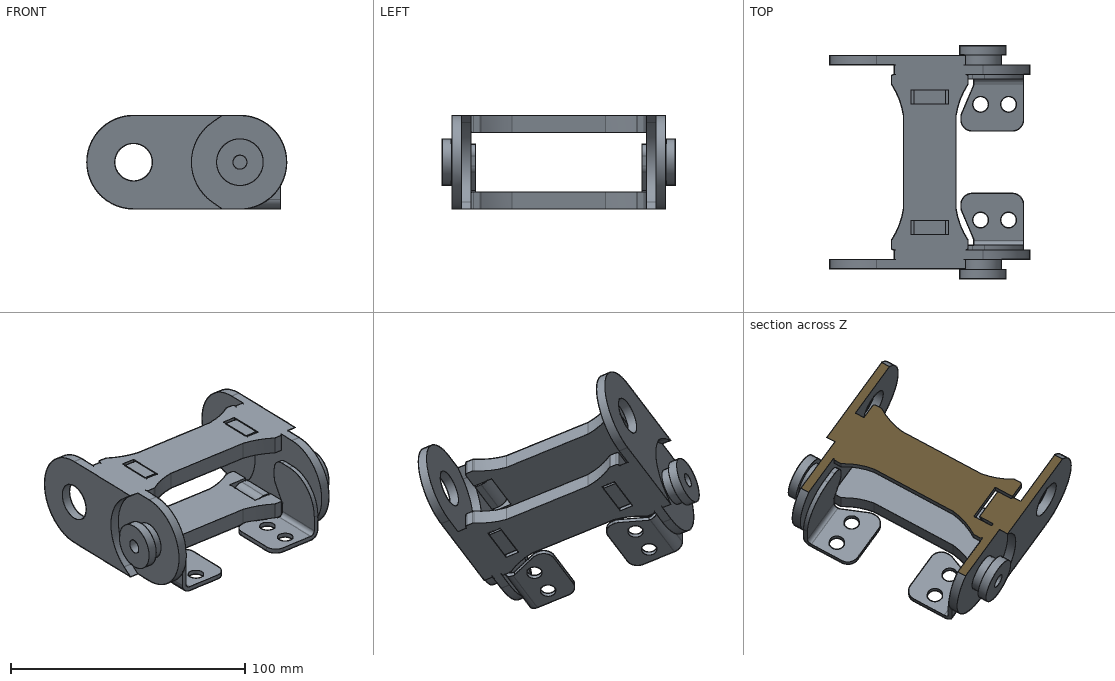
import cadquery as cq
import math

plate_radius = 20.0
plate_thickness = 4.1
pitch = 45.4
eye_radius = 8.0
outer_face_y = 45.6
layer_face_y = outer_face_y - plate_thickness
inner_face_y = layer_face_y - plate_thickness
relief_radius = 20.7
relief_arc_angle = 55
middle_x = pitch / 2

pin_end_y = 49.8
pin_head_radius = 10.0
pin_head_thickness = 4.0
pin_shank_radius = 8.0
pin_bore_radius = 3.0

bridge_thickness = 7.4
bridge_end_width = 32.9
bridge_waist_width = 22.5
bridge_flare_start_y = 19.9
bridge_flare_end_y = 33.4
bridge_flare_sag = 0.8
bridge_corner_radius = 1.0

pad_recess = 0.3
outer_pad_length = 13.4
outer_slot_length = 15.9
outer_slot_y = 27.9
outer_slot_width = 6.0
outer_groove_depth = 2.0
inner_pad_length = 14.9
inner_pocket_length = 16.9
inner_pocket_y = 28.8
inner_pocket_depth = 4.8
inner_pad_flat_y = 34.5

bracket_thickness = 2.0
bracket_bend_radius = 4.0
bracket_left_x = pitch - 9.5
bracket_neck_x = pitch - 4.0
bracket_right_x = pitch + 17.4
bracket_corner_radius = 5.0
bracket_top_z = 7.7
bracket_crown_x = pitch + 0.6
bracket_knee_z = -3.1
bracket_neck_z = -12.1
tab_end_y = 13.2
tab_knee_y = 20.0
tab_neck_y = 32.9
tab_hole_radius = 3.3
tab_hole_y = 24.7
tab_hole_xs = (pitch - 1.0, pitch + 11.0)


def cylinder_y(x, radius, y_start, y_end):
    """Cylinder along +Y at height Z = 0."""
    plane = cq.Workplane("XZ", origin=(x, y_start, 0))
    return plane.circle(radius).extrude(y_start - y_end)


def box_between(x_start, x_end, y_start, y_end, z_start, z_end):
    box = cq.Workplane("XY").box(x_end - x_start, y_end - y_start, z_end - z_start, centered=False)
    return box.translate((x_start, y_start, z_start))


def plate_layer(round_x, relief_x, y_start):
    """Plate with a round end at round_x and a hollow end around relief_x."""
    y_end = y_start + plate_thickness
    x_start, x_end = sorted((round_x, relief_x))
    body = box_between(x_start, x_end, y_start, y_end, -plate_radius, plate_radius)
    body = body.cut(cylinder_y(relief_x, relief_radius, y_start, y_end))

    inward = math.copysign(1, round_x - relief_x)
    angle = math.radians(relief_arc_angle)
    tangent_x = relief_x + inward * relief_radius * math.cos(angle)
    tangent_z = relief_radius * math.sin(angle)
    corner_x = tangent_x - inward * (plate_radius - tangent_z) * math.tan(angle)
    corners = [(tangent_x, tangent_z), (corner_x, plate_radius), (relief_x, plate_radius)]
    corners += [(x, -z) for x, z in reversed(corners)]
    flare = cq.Workplane("XZ", origin=(0, y_start, 0)).polyline(corners).close().extrude(-plate_thickness)
    return body.cut(flare).union(cylinder_y(round_x, plate_radius, y_start, y_end))


def side_plate():
    outer = plate_layer(0, pitch, layer_face_y)
    inner = plate_layer(pitch, 0, inner_face_y)
    eye = cylinder_y(0, eye_radius, inner_face_y, outer_face_y)
    return outer.union(inner).cut(eye)


def pin():
    shank = cylinder_y(pitch, pin_shank_radius, layer_face_y, pin_end_y)
    head = cylinder_y(pitch, pin_head_radius, pin_end_y - pin_head_thickness, pin_end_y)
    return shank.union(head)


def bridge_blank():
    """Waisted bar whose sides flare in shallow hollow arcs."""
    end_half = bridge_end_width / 2
    waist_half = bridge_waist_width / 2
    chord_x = end_half - waist_half
    chord_y = bridge_flare_end_y - bridge_flare_start_y
    chord = math.hypot(chord_x, chord_y)
    mid_x = (waist_half + end_half) / 2 - bridge_flare_sag * chord_y / chord
    mid_y = (bridge_flare_start_y + bridge_flare_end_y) / 2 + bridge_flare_sag * chord_x / chord
    quarter = (
        cq.Workplane("XY")
        .moveTo(0, 0)
        .lineTo(waist_half, 0)
        .lineTo(waist_half, bridge_flare_start_y)
        .threePointArc((mid_x, mid_y), (end_half, bridge_flare_end_y))
        .lineTo(end_half, inner_face_y)
        .lineTo(0, inner_face_y)
        .close()
        .extrude(bridge_thickness)
    )
    quarter = quarter.edges("|Z and >X").fillet(bridge_corner_radius)
    half = quarter.union(quarter.mirror("YZ"))
    return half.union(half.mirror("XZ"))


def outer_pad_cut():
    """Grooves beside the outer pad and its recess, sunk from the top face of the top bridge."""
    slot = cq.Workplane("XY").box(outer_slot_length, outer_slot_width, 2 * outer_groove_depth)
    pad = cq.Workplane("XY").box(outer_pad_length, outer_slot_width, 2 * outer_groove_depth)
    pad = pad.translate((0, 0, -outer_groove_depth - pad_recess))
    return slot.cut(pad).translate((middle_x, outer_slot_y, plate_radius))


def inner_pad_cut():
    """Pocket next to the side plate in the bottom face, around a pad with one rounded edge."""
    base_z = plate_radius - bridge_thickness
    pocket_top_z = base_z + inner_pocket_depth
    half_pocket = inner_pocket_length / 2
    pocket = box_between(
        middle_x - half_pocket, middle_x + half_pocket, inner_pocket_y, inner_face_y, base_z, pocket_top_z
    )
    pad_bottom_z = base_z + pad_recess
    pad_depth = pocket_top_z - pad_bottom_z
    half_pad = inner_pad_length / 2
    pad = box_between(
        middle_x - half_pad,
        middle_x + half_pad,
        inner_pad_flat_y - pad_depth,
        inner_face_y,
        pad_bottom_z,
        pocket_top_z + pad_recess,
    )
    pad = pad.edges("<Y and <Z").fillet(pad_depth)
    return pocket.cut(pad)


def bridge():
    """Top bridge with an outer pad near each end and an inner pad at the +Y end only."""
    bar = bridge_blank().translate((middle_x, 0, plate_radius - bridge_thickness))
    outer_cut = outer_pad_cut()
    return bar.cut(outer_cut).cut(outer_cut.mirror("XZ")).cut(inner_pad_cut())


def bracket():
    """Plate on the side wall, bent at the bottom into a drilled horizontal tab."""
    bottom_z = -plate_radius
    bend_z = bottom_z + bracket_bend_radius
    bend_y = inner_face_y - bracket_bend_radius
    crown_radius = bracket_right_x - bracket_crown_x
    crown_mid_x = bracket_crown_x + crown_radius * math.sin(math.pi / 4)
    crown_mid_z = bracket_top_z - crown_radius * (1 - math.cos(math.pi / 4))

    wall = (
        cq.Workplane("XZ", origin=(0, inner_face_y, 0))
        .moveTo(bracket_neck_x, bend_z)
        .lineTo(bracket_neck_x, bracket_neck_z)
        .lineTo(bracket_left_x, bracket_knee_z)
        .lineTo(bracket_left_x, bracket_top_z)
        .lineTo(bracket_crown_x, bracket_top_z)
        .threePointArc((crown_mid_x, crown_mid_z), (bracket_right_x, bracket_top_z - crown_radius))
        .lineTo(bracket_right_x, bend_z)
        .close()
        .extrude(bracket_thickness)
        .edges("|Y and <X")
        .fillet(bracket_corner_radius)
    )
    tab = (
        cq.Workplane("XY", origin=(0, 0, bottom_z))
        .moveTo(bracket_neck_x, bend_y)
        .lineTo(bracket_neck_x, tab_neck_y)
        .lineTo(bracket_left_x, tab_knee_y)
        .lineTo(bracket_left_x, tab_end_y)
        .lineTo(bracket_right_x, tab_end_y)
        .lineTo(bracket_right_x, bend_y)
        .close()
        .extrude(bracket_thickness)
        .edges("|Z and (<X or (>X and <Y))")
        .fillet(bracket_corner_radius)
    )
    holes = (
        cq.Workplane("XY", origin=(0, 0, bottom_z))
        .pushPoints([(x, tab_hole_y) for x in tab_hole_xs])
        .circle(tab_hole_radius)
        .extrude(bracket_thickness)
    )
    bend_ring = (
        cq.Workplane("YZ", origin=(bracket_neck_x, bend_y, bend_z))
        .circle(bracket_bend_radius)
        .circle(bracket_bend_radius - bracket_thickness)
        .extrude(bracket_right_x - bracket_neck_x)
    )
    bend_zone = box_between(bracket_neck_x, bracket_right_x, bend_y, inner_face_y, bottom_z, bend_z)
    return wall.union(bend_ring.intersect(bend_zone)).union(tab.cut(holes))


def side():
    """Everything on the +Y side apart from the bridges."""
    bore = cylinder_y(pitch, pin_bore_radius, inner_face_y, pin_end_y)
    return side_plate().union(pin()).cut(bore).union(bracket())


half_frame = side()
top_bridge = bridge()
result = (
    half_frame.union(half_frame.mirror("XZ"))
    .union(top_bridge)
    .union(top_bridge.mirror("XY"))
)